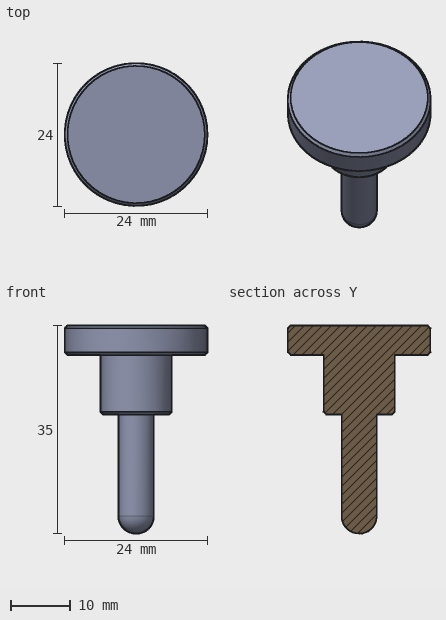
import cadquery as cq

total_length = 35.0
head_diameter = 24.0
head_height = 5.0
hub_diameter = head_diameter / 2
hub_height = 2 * head_height
pin_diameter = hub_diameter / 2
edge_chamfer = 0.5

pin_radius = pin_diameter / 2

head_bottom = total_length - head_height
hub_bottom = head_bottom - hub_height


def make_disc(diameter, height, bottom, chamfered_edges):
    """Cylinder on the Z axis with the selected rims chamfered."""
    disc = cq.Workplane("XY").workplane(offset=bottom).circle(diameter / 2).extrude(height)
    return disc.edges(chamfered_edges).chamfer(edge_chamfer)


def make_pin():
    """Straight pin whose lower end is a hemisphere."""
    shank = cq.Workplane("XY").workplane(offset=pin_radius).circle(pin_radius).extrude(hub_bottom - pin_radius)
    tip = cq.Workplane("XY").sphere(pin_radius).translate((0, 0, pin_radius))
    return shank.union(tip)


head = make_disc(head_diameter, head_height, head_bottom, "%CIRCLE")
hub = make_disc(hub_diameter, hub_height, hub_bottom, "<Z")
result = head.union(hub).union(make_pin())